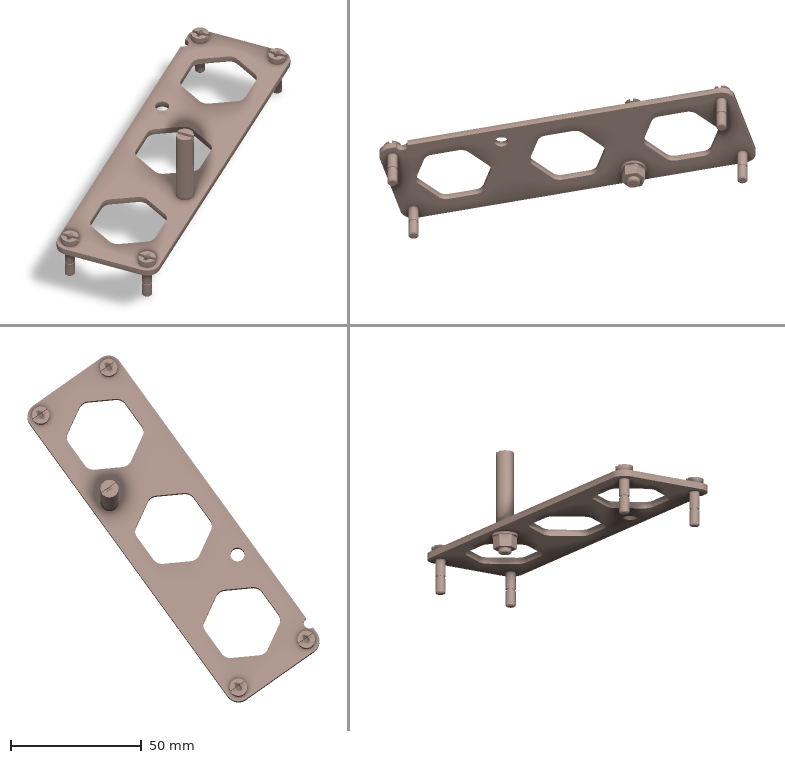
import cadquery as cq
import math

PLATE_LENGTH = 140.0
PLATE_WIDTH = 42.0
PLATE_THICKNESS = 2.5
CORNER_RADIUS = 5.0

WINDOW_COUNT = 3
WINDOW_PITCH = 45.0
WINDOW_FLATS = 26.6
WINDOW_CORNER_RADIUS = 4.0

NOTCH_RADIUS = 2.2
NOTCH_Y = PLATE_LENGTH / 2 - 10.0

POST_X = 14.0
POST_Y = -WINDOW_PITCH / 2
OPEN_HOLE_DIAMETER = 5.3

POST_DIAMETER = 6.9
POST_HEIGHT = 30.1
STUD_DIAMETER = 5.0
STUD_LENGTH = 7.5
WASHER_DIAMETER = 10.0
WASHER_THICKNESS = 1.0
NUT_FLATS = 8.0
NUT_THICKNESS = 4.8
NUT_CHAMFER = 0.3

SCREW_INSET = 5.0
HEAD_DIAMETER = 6.7
HEAD_HEIGHT = 2.7
SHANK_DIAMETER = 3.9
SHANK_LENGTH = 13.5
GROOVE_DIAMETER = 3.4
GROOVE_HEIGHT = 0.8
GROOVE_TOP = 6.6
END_CHAMFER = 0.4

SLOT_WIDTH = 1.3
SLOT_DEPTH = 1.3
RECESS_SPAN = 4.2
RECESS_ARM_WIDTH = 1.3
RECESS_DEPTH = 2.0
RECESS_FLOOR = 1.3
RECESS_CORE_DIAMETER = 3.0


def cylinder(diameter, bottom, top):
    return cq.Workplane("XY").workplane(offset=bottom).circle(diameter / 2).extrude(top - bottom)


def hexagon(flats, bottom, height):
    """Hexagonal prism with two of its corners on the Y axis."""
    corner_diameter = flats / math.cos(math.pi / 6)
    prism = cq.Workplane("XY").polygon(6, corner_diameter).extrude(height)
    return prism.rotate((0, 0, 0), (0, 0, 1), 90).translate((0, 0, bottom))


def driver_slot(length, top):
    """Cutter for a straight slot along X, open at the given height."""
    return cq.Workplane("XY").box(length, SLOT_WIDTH, 2 * SLOT_DEPTH).translate((0, 0, top))


def make_plate():
    plate = cq.Workplane("XY").rect(PLATE_WIDTH, PLATE_LENGTH).extrude(PLATE_THICKNESS)
    plate = plate.edges("|Z").fillet(CORNER_RADIUS)
    window = hexagon(WINDOW_FLATS, 0, PLATE_THICKNESS).edges("|Z").fillet(WINDOW_CORNER_RADIUS)
    for index in range(WINDOW_COUNT):
        window_y = (index - (WINDOW_COUNT - 1) / 2) * WINDOW_PITCH
        plate = plate.cut(window.translate((0, window_y, 0)))
    notch = cylinder(2 * NOTCH_RADIUS, 0, PLATE_THICKNESS)
    plate = plate.cut(notch.translate((-PLATE_WIDTH / 2, NOTCH_Y, 0)))
    open_hole = cylinder(OPEN_HOLE_DIAMETER, 0, PLATE_THICKNESS)
    return plate.cut(open_hole.translate((-POST_X, -POST_Y, 0)))


def make_nut():
    """Hex nut under the washer, with the corners of its lower face turned off."""
    bottom = -WASHER_THICKNESS - NUT_THICKNESS
    corner_diameter = NUT_FLATS / math.cos(math.pi / 6)
    envelope = cylinder(corner_diameter, bottom, -WASHER_THICKNESS).faces("<Z").chamfer(NUT_CHAMFER)
    return hexagon(NUT_FLATS, bottom, NUT_THICKNESS).intersect(envelope)


def make_post():
    top = PLATE_THICKNESS + POST_HEIGHT
    post = cylinder(POST_DIAMETER, PLATE_THICKNESS, top).cut(driver_slot(POST_DIAMETER, top))
    stud = cylinder(STUD_DIAMETER, -STUD_LENGTH, PLATE_THICKNESS).faces("<Z").chamfer(END_CHAMFER)
    washer = cylinder(WASHER_DIAMETER, -WASHER_THICKNESS, 0)
    return post.union(stud).union(washer).union(make_nut())


def cross_recess(top):
    """Cutter for a cross recess whose arms and conical core narrow to a small floor."""
    floor = top - RECESS_DEPTH
    arm_profile = [
        (-RECESS_SPAN / 2, top),
        (RECESS_SPAN / 2, top),
        (RECESS_FLOOR / 2, floor),
        (-RECESS_FLOOR / 2, floor),
    ]
    arm = cq.Workplane("XZ").polyline(arm_profile).close().extrude(RECESS_ARM_WIDTH / 2, both=True)
    core_profile = [
        (0, top),
        (RECESS_CORE_DIAMETER / 2, top),
        (RECESS_FLOOR / 2, floor),
        (0, floor),
    ]
    core = cq.Workplane("XZ").polyline(core_profile).close().revolve(360, (0, 0, 0), (0, 1, 0))
    return arm.union(arm.rotate((0, 0, 0), (0, 0, 1), 90)).union(core)


def make_screw():
    top = PLATE_THICKNESS + HEAD_HEIGHT
    head = cylinder(HEAD_DIAMETER, PLATE_THICKNESS, top)
    head = head.cut(driver_slot(HEAD_DIAMETER, top)).cut(cross_recess(top))
    shank = cylinder(SHANK_DIAMETER, -SHANK_LENGTH, PLATE_THICKNESS).faces("<Z").chamfer(END_CHAMFER)
    groove_bottom = -GROOVE_TOP - GROOVE_HEIGHT
    groove = cylinder(SHANK_DIAMETER, groove_bottom, -GROOVE_TOP)
    groove = groove.cut(cylinder(GROOVE_DIAMETER, groove_bottom, -GROOVE_TOP))
    return head.union(shank.cut(groove))


result = make_plate().union(make_post().translate((POST_X, POST_Y, 0)))

screw = make_screw()
screw_x = PLATE_WIDTH / 2 - SCREW_INSET
screw_y = PLATE_LENGTH / 2 - SCREW_INSET
for side_x in (-1, 1):
    for side_y in (-1, 1):
        result = result.union(screw.translate((side_x * screw_x, side_y * screw_y, 0)))